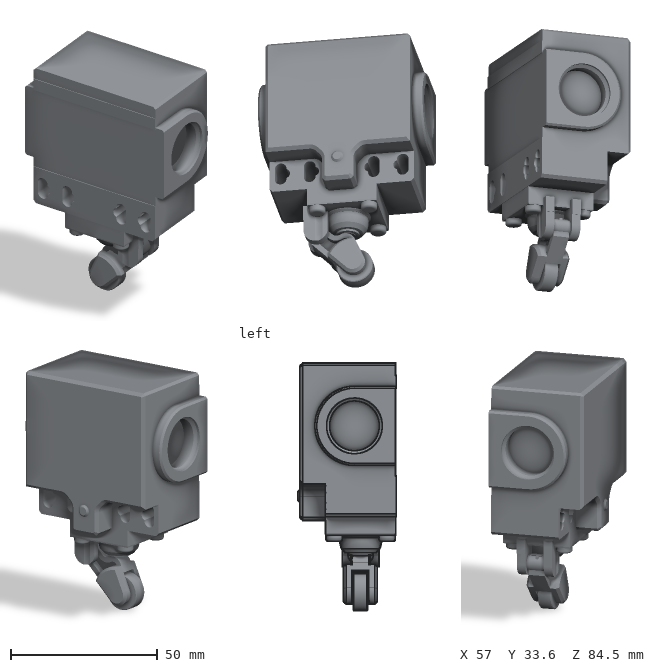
import cadquery as cq
import math


total_height = 84.5
body_half = 25.0
plate_back = 24.2
plate_bottom = 31.9
edge_chamfer = 1.1
top_chamfer = 0.85
face_step = 0.25
upper_strip_bottom = 75.9
upper_strip_top = 80.25
plate_top = 45.95

cover_back = 32.95
cover_bottom = 43.3
lobe_half = 5.5
lobe_bottom = 30.7
lobe_shoulder = 3.0
lobe_fillet = 2.95

cover_screw_z = 39.0
cover_screw_diameter = 4.2
cover_screw_tip = 33.6

boss_span = 57.0
boss_half_span = boss_span / 2
boss_radius = 13.5
boss_y = 14.3
boss_z = 63.0
boss_chamfer = 0.7
mouth_diameter = 19.0
mouth_depth = 0.9
bore_diameter = 17.0
bore_depth = 5.9

slot_width = 4.05
slot_length = 7.9
slot_z = 38.5
slot_spacings = (21.1, 11.1)
notch_radius = 1.8
notch_offset = 1.4

axis_y = 12.2
head_half = 12.1
head_half_depth = 12.0
head_bottom = 25.8
gasket_height = 0.5
gasket_taper = 10

screw_spacing_x = 17.9
screw_spacing_y = 18.1
screw_diameter = 5.6
screw_relief_diameter = 6.0
screw_height = 2.2
screw_fillet = 0.85

collar_diameter = 14.5
collar_bottom = 24.8
collar_flare = 0.7
boot_radius = 7.2
boot_shoulder_radius = 6.5
boot_shoulder_z = 21.1
boot_bulge = 0.25
boot_end_radius = 5.2
boot_bottom = 19.7
button_diameter = 8.0
button_bottom = 18.9
nub_diameter = 5.6
nub_bottom = 18.7

lever_y = 12.25
roller_x = -2.8
roller_diameter = 12.5
roller_width = 4.9
roller_chamfer = 0.25
axle_diameter = 5.6

lever_slope = 45
tip_radius = 4.05
fork_half_width = 5.8
fork_top_radius = 9.55
fork_chamfer = 0.9
arm_half_width = 2.9
roller_clearance_radius = 7.4
fork_left_slope = 66.3

bump_diameter = 7.0
bump_radius = bump_diameter / 2
bump_top = 18.6
arm_depth = 7.35
valley_radius = 2.2
arm_right = 12.0
arm_top = 22
recess_depth = 2.4
flange = 1.9

ear_left = 5.8
ear_width = 8.4
ear_radius = ear_width / 2
ear_top = 28.5
ear_axis_z = 19.1
ear_inner_half = 3.3
ear_outer_half = 6.3
bracket_step = 0.21
bracket_right = ear_left + ear_width + bracket_step
bracket_bottom = 23.15

roller_z = roller_diameter / 2
bump_z = bump_top - bump_radius
ear_x = ear_left + ear_radius


def box(x0, x1, y0, y1, z0, z1):
    """Block between two opposite corners."""
    return cq.Workplane("XY").box(x1 - x0, y1 - y0, z1 - z0, centered=False).translate((x0, y0, z0))


def plate_at(outline, y0, y1):
    """Extrude an outline lying in the XZ plane from y0 back to y1."""
    return outline.extrude(y0 - y1).translate((0, y0, 0))


def disc_y(x, z, radius, y0, y1):
    """Cylinder along Y."""
    return plate_at(cq.Workplane("XZ").center(x, z).circle(radius), y0, y1)


def polar(x, z, radius, degrees):
    """Point on a circle in the XZ plane."""
    angle = math.radians(degrees)
    return x + radius * math.cos(angle), z + radius * math.sin(angle)


def housing():
    """Main block with the raised strips of its mounting face."""
    block = box(-body_half, body_half, 0, plate_back, plate_bottom, total_height)
    block = block.edges("|Y and <Z").chamfer(edge_chamfer).edges("|Y and >Z").chamfer(top_chamfer)
    for z0, z1 in ((upper_strip_top, total_height), (plate_top, upper_strip_bottom)):
        block = block.cut(box(-body_half, body_half, 0, face_step, z0, z1))
    return block


def cover():
    """Rear cover with a narrow lobe that reaches down behind the plate."""
    main = box(-body_half, body_half, plate_back, cover_back, cover_bottom, total_height)
    main = main.edges("|Y and >Z").chamfer(top_chamfer)
    lobe = box(-lobe_half, lobe_half, plate_back, cover_back, lobe_bottom, cover_bottom)
    lobe = lobe.edges("|Y and <Z").chamfer(edge_chamfer)
    shoulder_half = lobe_half + lobe_shoulder
    shoulder_outline = cq.Workplane("XZ").polyline([
        (-shoulder_half, cover_bottom),
        (-lobe_half, cover_bottom - lobe_shoulder),
        (lobe_half, cover_bottom - lobe_shoulder),
        (shoulder_half, cover_bottom),
    ]).close()
    shape = main.union(lobe).union(plate_at(shoulder_outline, plate_back, cover_back))
    margin = edge_chamfer / 2
    shoulder_corners = cq.selectors.BoxSelector(
        (-shoulder_half - margin, plate_back, cover_bottom - lobe_shoulder - margin),
        (shoulder_half + margin, cover_back, cover_bottom + margin),
    )
    shape = shape.edges("|Y").edges(shoulder_corners).fillet(lobe_fillet)
    shape = shape.faces(">Y").chamfer(edge_chamfer)
    screw = disc_y(0, cover_screw_z, cover_screw_diameter / 2, plate_back, cover_screw_tip)
    return shape.union(screw.faces(">Y").chamfer(cover_screw_tip - cover_back))


def conduit_boss():
    """Boss on the +X side, round at the back and square towards the mounting face."""
    outline = (
        cq.Workplane("YZ")
        .moveTo(face_step, boss_z - boss_radius)
        .lineTo(boss_y, boss_z - boss_radius)
        .threePointArc((boss_y + boss_radius, boss_z), (boss_y, boss_z + boss_radius))
        .lineTo(face_step, boss_z + boss_radius)
        .close()
    )
    boss = outline.extrude(boss_half_span)
    return boss.faces(">X").edges("not(<Y)").chamfer(boss_chamfer)


def conduit_bore():
    """Blind bore on the +X side with a wider mouth and a 45 degree cone between them."""
    mouth = mouth_diameter / 2
    bore = bore_diameter / 2
    profile = [
        (boss_half_span, 0),
        (boss_half_span, mouth),
        (boss_half_span - mouth_depth, mouth),
        (boss_half_span - mouth_depth - (mouth - bore), bore),
        (boss_half_span - bore_depth, bore),
        (boss_half_span - bore_depth, 0),
    ]
    bore_solid = cq.Workplane("XY").polyline(profile).close().revolve(360, (0, 0, 0), (1, 0, 0))
    return bore_solid.translate((0, boss_y, boss_z))


def mounting_slot(side, x):
    """Upright slot with a rounded notch on the side nearer the middle."""
    slot = plate_at(
        cq.Workplane("XZ").center(side * x, slot_z).slot2D(slot_length, slot_width, 90), 0, plate_back
    )
    return slot.union(disc_y(side * (x - notch_offset), slot_z, notch_radius, 0, plate_back))


def screw_cylinders(diameter, height):
    """Four vertical cylinders at the corner screws, reaching down from the head."""
    return (
        cq.Workplane("XY", origin=(0, axis_y, head_bottom))
        .rect(screw_spacing_x, screw_spacing_y, forConstruction=True)
        .vertices()
        .circle(diameter / 2)
        .extrude(-height)
    )


def head():
    """Head block with a slightly tapered gasket below and four corner screws."""
    gasket_top = head_bottom + gasket_height
    block = box(
        -head_half, head_half,
        axis_y - head_half_depth, axis_y + head_half_depth,
        gasket_top, plate_bottom,
    )
    gasket = (
        cq.Workplane("XY", origin=(0, axis_y, gasket_top))
        .rect(2 * head_half, 2 * head_half_depth)
        .extrude(-gasket_height, taper=gasket_taper)
    )
    screws = screw_cylinders(screw_diameter, screw_height).faces("<Z").edges().fillet(screw_fillet)
    return block.union(gasket).union(screws)


def boot():
    """Domed rubber boot with a flared collar above and the stepped push button below."""
    collar = collar_diameter / 2
    button = button_diameter / 2
    nub = nub_diameter / 2
    side_middle = (
        (boot_radius + boot_shoulder_radius) / 2 + boot_bulge,
        (collar_bottom + boot_shoulder_z) / 2,
    )
    profile = (
        cq.Workplane("XZ")
        .moveTo(0, plate_bottom)
        .lineTo(collar + collar_flare, plate_bottom)
        .lineTo(collar + collar_flare, collar_bottom + collar_flare)
        .lineTo(collar, collar_bottom)
        .lineTo(boot_radius, collar_bottom)
        .threePointArc(side_middle, (boot_shoulder_radius, boot_shoulder_z))
        .lineTo(boot_end_radius, boot_bottom)
        .lineTo(button, boot_bottom)
        .lineTo(button, button_bottom)
        .lineTo(nub, button_bottom)
        .lineTo(nub, nub_bottom)
        .lineTo(0, nub_bottom)
        .close()
    )
    return profile.revolve(360, (0, 0, 0), (0, 1, 0)).translate((0, axis_y, 0))


def ears():
    """Pair of hanging ears that carry the lever, relieved around the screws and the boot."""
    outline = (
        cq.Workplane("XZ")
        .moveTo(ear_left, ear_top)
        .lineTo(ear_left, ear_axis_z)
        .threePointArc((ear_x, ear_axis_z - ear_radius), (ear_x + ear_radius, ear_axis_z))
        .lineTo(ear_x + ear_radius, bracket_bottom)
        .lineTo(bracket_right, bracket_bottom)
        .lineTo(bracket_right, ear_top)
        .close()
    )
    pair = plate_at(outline, axis_y - ear_outer_half, axis_y + ear_outer_half)
    gap = box(0, bracket_right, axis_y - ear_inner_half, axis_y + ear_inner_half, 0, ear_top)
    boot_relief = (
        cq.Workplane("XY", origin=(0, axis_y, 0)).circle(collar_diameter / 2).extrude(ear_top)
    )
    return pair.cut(gap).cut(boot_relief).cut(screw_cylinders(screw_relief_diameter, head_bottom))


slope_cos = math.cos(math.radians(lever_slope))
slope_sin = math.sin(math.radians(lever_slope))
slope_tan = math.tan(math.radians(lever_slope))
left_cos = math.cos(math.radians(fork_left_slope))
left_sin = math.sin(math.radians(fork_left_slope))

lower_tangent = polar(roller_x, roller_z, tip_radius, lever_slope - 90)
left_tangent = polar(roller_x, roller_z, tip_radius, fork_left_slope + 90)
tip_middle = polar(roller_x, roller_z, tip_radius, (lever_slope + fork_left_slope) / 2 + 180)
edge_run = math.sqrt(fork_top_radius**2 - tip_radius**2)
fork_right = (lower_tangent[0] + edge_run * slope_cos, lower_tangent[1] + edge_run * slope_sin)
fork_left = (left_tangent[0] + edge_run * left_cos, left_tangent[1] + edge_run * left_sin)
fork_middle = polar(roller_x, roller_z, fork_top_radius, (lever_slope + fork_left_slope) / 2)
lower_edge_level = lower_tangent[1] - lower_tangent[0] * slope_tan

bump_x = roller_x + ((bump_z - roller_z) * left_cos - (tip_radius - bump_radius)) / left_sin

bump_height = (bump_z - bump_x * slope_tan - lower_edge_level) * slope_cos - arm_depth
valley_rise = valley_radius - bump_height
valley_run = math.sqrt((bump_radius + valley_radius) ** 2 - valley_rise**2)
valley_x = bump_x + valley_run * slope_cos - valley_rise * slope_sin
valley_z = bump_z + valley_run * slope_sin + valley_rise * slope_cos
valley_angle = math.degrees(math.atan2(bump_z - valley_z, bump_x - valley_x))


def fork_cheek():
    """Front cheek of the fork, chamfered around its outer face."""
    outline = (
        cq.Workplane("XZ")
        .moveTo(*fork_left)
        .lineTo(*left_tangent)
        .threePointArc(tip_middle, lower_tangent)
        .lineTo(*fork_right)
        .threePointArc(fork_middle, fork_left)
        .close()
    )
    cheek = plate_at(outline, lever_y - fork_half_width, lever_y - arm_half_width)
    return cheek.faces("<Y").chamfer(fork_chamfer)


def arm_outline(inset):
    """Side outline of the arm, shrunk by inset on its upper and lower edges."""
    radius = bump_radius - inset
    hollow = valley_radius + inset
    lower_level = lower_edge_level + inset / slope_cos
    upper_level = lower_edge_level + (arm_depth - inset) / slope_cos
    bump_start = polar(bump_x, bump_z, radius, fork_left_slope + 90)
    bump_crest = polar(bump_x, bump_z, radius, 90)
    hollow_start = polar(valley_x, valley_z, hollow, valley_angle)
    hollow_middle = polar(valley_x, valley_z, hollow, (valley_angle + lever_slope - 90) / 2)
    hollow_end = polar(valley_x, valley_z, hollow, lever_slope - 90)
    return (
        cq.Workplane("XZ")
        .moveTo(*bump_start)
        .threePointArc(bump_crest, hollow_start)
        .threePointArc(hollow_middle, hollow_end)
        .lineTo((arm_top - upper_level) / slope_tan, arm_top)
        .lineTo(arm_right, arm_top)
        .lineTo(arm_right, arm_right * slope_tan + lower_level)
        .lineTo(lower_tangent[0], lower_tangent[0] * slope_tan + lower_level)
        .lineTo(*left_tangent)
        .close()
    )


def lever():
    """Recessed arm on a pivot pin, widening into a fork around the roller."""
    arm_front = lever_y - arm_half_width
    arm = plate_at(arm_outline(0), arm_front, lever_y + arm_half_width)
    fork_zone = disc_y(roller_x, roller_z, fork_top_radius, 0, plate_back)
    recess = plate_at(arm_outline(flange), arm_front, arm_front + recess_depth)
    recess = recess.cut(fork_zone)
    arm = arm.cut(recess).cut(recess.mirror("XZ", (0, lever_y, 0)))
    arm = arm.cut(disc_y(roller_x, roller_z, roller_clearance_radius, 0, plate_back))
    pin_half = (ear_inner_half + ear_outer_half) / 2
    pin = disc_y(ear_x, ear_axis_z, axle_diameter / 2, lever_y - pin_half, lever_y + pin_half)
    cheek = fork_cheek()
    return arm.union(pin).union(cheek).union(cheek.mirror("XZ", (0, lever_y, 0)))


def roller():
    """Roller on its axle between the fork cheeks."""
    half_width = roller_width / 2
    wheel = disc_y(roller_x, roller_z, roller_diameter / 2, lever_y - half_width, lever_y + half_width)
    wheel = wheel.faces("|Y").chamfer(roller_chamfer)
    axle = disc_y(roller_x, roller_z, axle_diameter / 2, lever_y - arm_half_width, lever_y + arm_half_width)
    return wheel.union(axle)


result = housing().union(cover())
boss = conduit_boss()
bore = conduit_bore()
result = result.union(boss).union(boss.mirror("YZ")).cut(bore).cut(bore.mirror("YZ"))
for spacing in slot_spacings:
    for side in (-1, 1):
        result = result.cut(mounting_slot(side, spacing))
result = result.union(head()).union(boot()).union(ears()).union(lever()).union(roller())